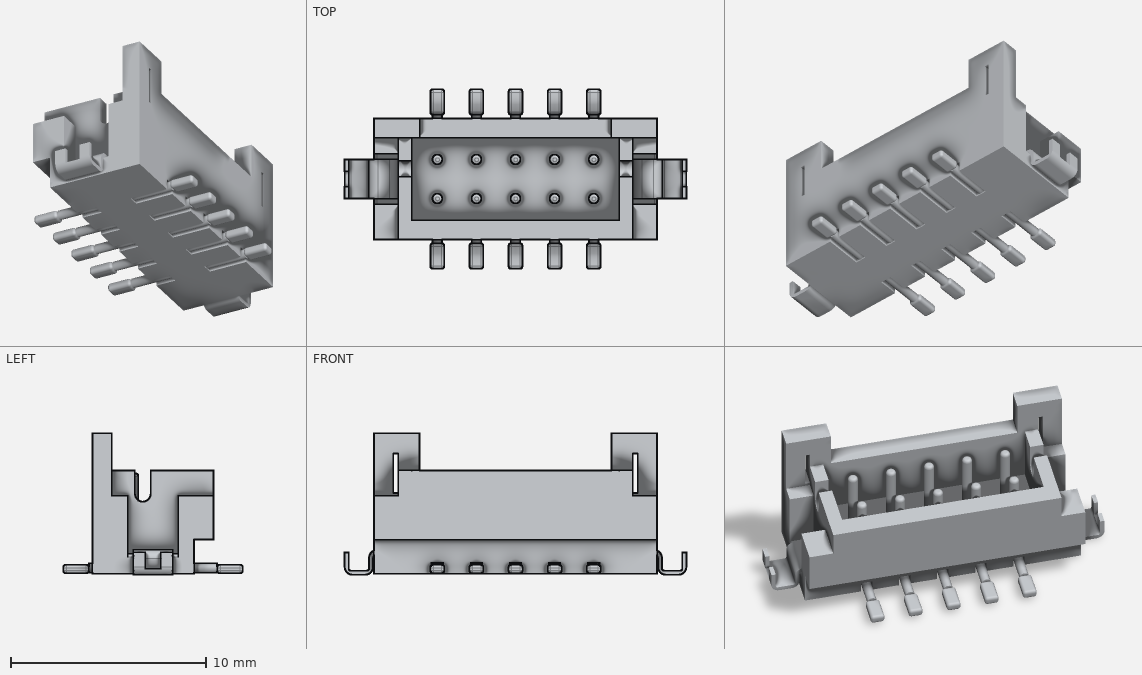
import cadquery as cq

BODY_LENGTH = 14.5
BODY_HALF_DEPTH = 3.1
WALL_THICKNESS = 1.0
INNER_HALF_DEPTH = BODY_HALF_DEPTH - WALL_THICKNESS
RIM_HEIGHT = 5.3
SHROUD_LENGTH = 12.0
CAVITY_LENGTH = 10.6
CAVITY_FLOOR = 2.25
UNDERCUT_HEIGHT = 1.75
TOWER_HEIGHT = 7.2
TOWER_WIDTH = 2.35
SHELF_HEIGHT = 4.0
SLIT_WIDTH = 0.25
SLIT_BOTTOM = 4.15
SLIT_HEIGHT = 2.0

NOTCH_CENTER_Y = 0.525
NOTCH_RADIUS = 0.4
NOTCH_BOTTOM = 3.7

POCKET_WIDTH = 2.6
POCKET_FLOOR = 1.02
POCKET_EDGE_RADIUS = 0.15

PITCH = 2.0
COLUMNS = 5
PIN_DIAMETER = 0.5
PIN_TOP = 5.15
PIN_TIP_RADIUS = 0.15
TAIL_HEIGHT = 0.3
TAIL_END = 4.6
PAD_LENGTH = 1.32
PAD_WIDTH = 0.72
PAD_THICKNESS = 0.45
PAD_HEIGHT = 0.25
PAD_EDGE_RADIUS = 0.15
TAIL_SLOT_WIDTH = 0.6
TAIL_SLOT_HEIGHT = 0.58

CLIP_OVERALL = 17.5
CLIP_WIDTH = 2.0
SHEET = 0.22
CLIP_BOTTOM = -0.05
CLIP_TIP_HEIGHT = 1.1
CLIP_LEG_X = 7.5
ARCH_RADIUS = 0.45
FOOT_RADIUS = 0.42
FOOT_INNER_RADIUS = 0.1
TIP_GAP_WIDTH = 0.8


def block(x_range, y_range, z_range):
    """Axis-aligned block from its limits along each axis."""
    (x0, x1), (y0, y1), (z0, z1) = x_range, y_range, z_range
    return cq.Workplane("XY").box(x1 - x0, y1 - y0, z1 - z0, centered=False).translate((x0, y0, z0))


def both_ends(shape):
    """The shape together with its mirror image at the opposite X end."""
    return shape.union(shape.mirror("YZ"))


def make_towers():
    half = BODY_LENGTH / 2
    slit_x = SHROUD_LENGTH / 2
    depth = (INNER_HALF_DEPTH, BODY_HALF_DEPTH)
    tower = block((half - TOWER_WIDTH, half), depth, (0, TOWER_HEIGHT))
    slit = block((slit_x, slit_x + SLIT_WIDTH), depth, (SLIT_BOTTOM, SLIT_BOTTOM + SLIT_HEIGHT))
    return both_ends(tower), both_ends(slit)


def make_key_notch():
    """Round-bottomed slot that runs along X through both shroud ends."""
    center_z = NOTCH_BOTTOM + NOTCH_RADIUS
    left = NOTCH_CENTER_Y - NOTCH_RADIUS
    right = NOTCH_CENTER_Y + NOTCH_RADIUS
    return (
        cq.Workplane("YZ", origin=(-SHROUD_LENGTH / 2, 0, 0))
        .moveTo(left, RIM_HEIGHT)
        .lineTo(left, center_z)
        .radiusArc((NOTCH_CENTER_Y, NOTCH_BOTTOM), -NOTCH_RADIUS)
        .radiusArc((right, center_z), -NOTCH_RADIUS)
        .lineTo(right, RIM_HEIGHT)
        .close()
        .extrude(SHROUD_LENGTH)
    )


def make_clip_pocket():
    """Cutter for the +X clip pocket, leaving a rounded outer edge on its floor."""
    inner = SHROUD_LENGTH / 2
    outer = BODY_LENGTH / 2
    return (
        cq.Workplane("XZ", origin=(0, POCKET_WIDTH / 2, 0))
        .moveTo(inner, POCKET_FLOOR)
        .lineTo(outer - POCKET_EDGE_RADIUS, POCKET_FLOOR)
        .radiusArc((outer, POCKET_FLOOR - POCKET_EDGE_RADIUS), POCKET_EDGE_RADIUS)
        .lineTo(outer, SHELF_HEIGHT)
        .lineTo(inner, SHELF_HEIGHT)
        .close()
        .extrude(POCKET_WIDTH)
    )


def column_positions():
    return [PITCH * (i - (COLUMNS - 1) / 2) for i in range(COLUMNS)]


def make_clip_slot():
    """Opening in the +X pocket floor where the inner end of the clip enters the housing."""
    inner = SHROUD_LENGTH / 2
    half_width = CLIP_WIDTH / 2
    bend_z = POCKET_FLOOR + SHEET - ARCH_RADIUS
    return block((inner, inner + SHEET), (-half_width, half_width), (bend_z, POCKET_FLOOR))


def make_tail_slots():
    """Slots under the housing edge, one around each pin tail."""
    half = TAIL_SLOT_WIDTH / 2
    slots = cq.Workplane("XY")
    for x in column_positions():
        for y_range in ((-INNER_HALF_DEPTH, -PITCH / 2), (PITCH / 2, BODY_HALF_DEPTH)):
            slots = slots.union(block((x - half, x + half), y_range, (0, TAIL_SLOT_HEIGHT)))
    return slots


def make_housing():
    half = BODY_LENGTH / 2
    shroud_half = SHROUD_LENGTH / 2
    cavity_half = CAVITY_LENGTH / 2
    depth = (-BODY_HALF_DEPTH, BODY_HALF_DEPTH)
    inner_depth = (-INNER_HALF_DEPTH, INNER_HALF_DEPTH)
    towers, slits = make_towers()
    base = block((-half, half), depth, (0, SHELF_HEIGHT))
    shroud = block((-shroud_half, shroud_half), depth, (0, RIM_HEIGHT))
    cavity = block((-cavity_half, cavity_half), inner_depth, (CAVITY_FLOOR, RIM_HEIGHT))
    undercut = block((-half, half), (-BODY_HALF_DEPTH, -INNER_HALF_DEPTH), (0, UNDERCUT_HEIGHT))
    return (
        base.union(shroud)
        .union(towers)
        .cut(slits)
        .cut(cavity)
        .cut(undercut)
        .cut(make_key_notch())
        .cut(both_ends(make_clip_pocket()))
        .cut(both_ends(make_clip_slot()))
        .cut(make_tail_slots())
    )


def make_pin(x):
    """Angled pin of the back row: upright post, horizontal tail and flattened solder pad."""
    radius = PIN_DIAMETER / 2
    row_y = PITCH / 2
    post = (
        cq.Workplane("XY", origin=(x, row_y, TAIL_HEIGHT))
        .circle(radius)
        .extrude(PIN_TOP - TAIL_HEIGHT)
        .faces(">Z")
        .edges()
        .fillet(PIN_TIP_RADIUS)
    )
    pad_start = TAIL_END - PAD_LENGTH
    tail = (
        cq.Workplane("XZ", origin=(x, row_y - radius, TAIL_HEIGHT))
        .circle(radius)
        .extrude(-(pad_start - row_y + radius))
    )
    pad = (
        cq.Workplane("XY")
        .box(PAD_WIDTH, PAD_LENGTH, PAD_THICKNESS)
        .edges()
        .fillet(PAD_EDGE_RADIUS)
        .translate((x, TAIL_END - PAD_LENGTH / 2, PAD_HEIGHT))
    )
    return post.union(tail).union(pad)


def make_clip():
    """Bent sheet clip at the +X end: arch over the pocket floor, leg, foot and upturned tip."""
    arch_top = POCKET_FLOOR + SHEET
    bend_z = arch_top - ARCH_RADIUS
    inner_x = SHROUD_LENGTH / 2
    tip_x = CLIP_OVERALL / 2
    arch_inside = ARCH_RADIUS - SHEET
    foot_top = CLIP_BOTTOM + SHEET
    outer_bend_z = CLIP_BOTTOM + FOOT_RADIUS
    inner_bend_z = foot_top + FOOT_INNER_RADIUS
    foot_start = CLIP_LEG_X - SHEET
    sheet = (
        cq.Workplane("XZ", origin=(0, CLIP_WIDTH / 2, 0))
        .moveTo(inner_x, outer_bend_z)
        .lineTo(inner_x, bend_z)
        .radiusArc((inner_x + ARCH_RADIUS, arch_top), ARCH_RADIUS)
        .lineTo(CLIP_LEG_X - ARCH_RADIUS, arch_top)
        .radiusArc((CLIP_LEG_X, bend_z), ARCH_RADIUS)
        .lineTo(CLIP_LEG_X, inner_bend_z)
        .radiusArc((CLIP_LEG_X + FOOT_INNER_RADIUS, foot_top), -FOOT_INNER_RADIUS)
        .lineTo(tip_x - SHEET - FOOT_INNER_RADIUS, foot_top)
        .radiusArc((tip_x - SHEET, inner_bend_z), -FOOT_INNER_RADIUS)
        .lineTo(tip_x - SHEET, CLIP_TIP_HEIGHT)
        .lineTo(tip_x, CLIP_TIP_HEIGHT)
        .lineTo(tip_x, outer_bend_z)
        .radiusArc((tip_x - FOOT_RADIUS, CLIP_BOTTOM), FOOT_RADIUS)
        .lineTo(foot_start + FOOT_RADIUS, CLIP_BOTTOM)
        .radiusArc((foot_start, outer_bend_z), FOOT_RADIUS)
        .lineTo(foot_start, bend_z)
        .radiusArc((CLIP_LEG_X - ARCH_RADIUS, POCKET_FLOOR), -arch_inside)
        .lineTo(inner_x + ARCH_RADIUS, POCKET_FLOOR)
        .radiusArc((inner_x + SHEET, bend_z), -arch_inside)
        .lineTo(inner_x + SHEET, outer_bend_z)
        .close()
        .extrude(CLIP_WIDTH)
    )
    gap_half = TIP_GAP_WIDTH / 2
    tip_gap = block((tip_x - SHEET, tip_x), (-gap_half, gap_half), (inner_bend_z, CLIP_TIP_HEIGHT))
    return sheet.cut(tip_gap)


result = make_housing().union(both_ends(make_clip()))
for column_x in column_positions():
    pin = make_pin(column_x)
    result = result.union(pin).union(pin.mirror("XZ"))